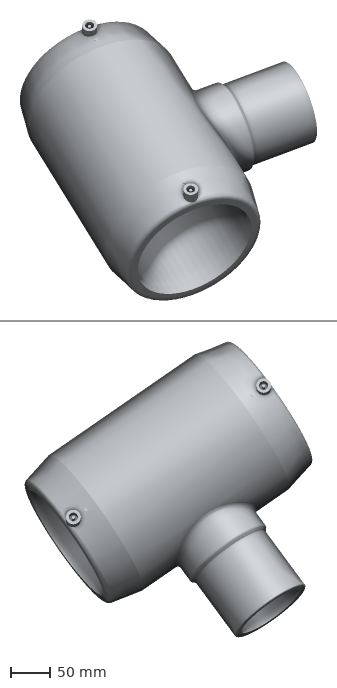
import cadquery as cq

sleeve_length = 319.0
sleeve_diameter = 209.0
bore_diameter = 160.0
straight_length = 228.0
end_diameter = 188.0
end_fillet = 6.0

branch_reach = 223.5
branch_diameter = 110.0
branch_bore_diameter = 90.0
branch_tip_chamfer = 1.0
collar_diameter = 119.0
collar_reach = 135.5
collar_edge = (collar_diameter - branch_diameter) / 2
collar_edge_fillet = 3.0
collar_root_fillet = 5.0
selection_margin = 0.5

terminal_offset = 148.5
terminal_diameter = 19.0
terminal_top = 109.0
socket_diameter = 11.5
socket_depth = 12.0
pin_diameter = 4.0
pin_height = 10.0
indicator_offset = 129.0
indicator_diameter = 4.0
indicator_height = 0.7

sleeve_radius = sleeve_diameter / 2
bore_radius = bore_diameter / 2
half_length = sleeve_length / 2
half_straight = straight_length / 2
taper_slope = (sleeve_diameter - end_diameter) / (sleeve_length - straight_length)
indicator_surface = sleeve_radius - taper_slope * (indicator_offset - half_straight)


def make_sleeve():
    """Solid sleeve blank: straight middle, tapered ends with rounded rims."""
    end_radius = end_diameter / 2
    profile = [
        (-half_length, 0),
        (-half_length, end_radius),
        (-half_straight, sleeve_radius),
        (half_straight, sleeve_radius),
        (half_length, end_radius),
        (half_length, 0),
    ]
    blank = cq.Workplane("XY").polyline(profile).close().revolve(360, (0, 0, 0), (1, 0, 0))
    return blank.faces("<X or >X").edges().fillet(end_fillet)


def cylinder_y(diameter, reach):
    """Cylinder from the sleeve axis out to the given +Y reach."""
    return cq.Workplane("XZ").circle(diameter / 2).extrude(-reach)


def cylinder_z(x, diameter, bottom, top):
    """Vertical cylinder above the sleeve axis at the given X."""
    return cq.Workplane("XY", origin=(x, 0, bottom)).circle(diameter / 2).extrude(top - bottom)


def edges_between(y_min, y_max):
    """Selector for whole edges lying between two Y positions along the branch."""
    reach = sleeve_length
    return cq.selectors.BoxSelector((-reach, y_min, -reach), (reach, y_max, reach), boundingbox=True)


def add_branch(body):
    """Collar blended into the sleeve, with the longer spigot beyond it."""
    collar = cylinder_y(collar_diameter, collar_reach).faces(">Y").edges().chamfer(collar_edge)
    shoulder = collar_reach - collar_edge
    shoulder_edges = edges_between(shoulder - selection_margin, shoulder + selection_margin)
    collar = collar.edges(shoulder_edges).fillet(collar_edge_fillet)
    body = body.union(collar)
    root_edges = edges_between(selection_margin, sleeve_radius + selection_margin)
    body = body.edges(root_edges).fillet(collar_root_fillet)
    spigot = cylinder_y(branch_diameter, branch_reach).faces(">Y").edges().chamfer(branch_tip_chamfer)
    return body.union(spigot)


def add_terminal(body, side):
    """Round terminal with an open socket around a contact pin, plus a low indicator pin on the taper."""
    x = side * terminal_offset
    socket_floor = terminal_top - socket_depth
    body = body.union(cylinder_z(x, terminal_diameter, bore_radius, terminal_top))
    body = body.cut(cylinder_z(x, socket_diameter, socket_floor, terminal_top))
    body = body.union(cylinder_z(x, pin_diameter, socket_floor, socket_floor + pin_height))
    indicator_x = side * indicator_offset
    indicator_top = indicator_surface + indicator_height
    return body.union(cylinder_z(indicator_x, indicator_diameter, bore_radius, indicator_top))


body = add_branch(make_sleeve())
for side in (-1, 1):
    body = add_terminal(body, side)
bore = cq.Workplane("YZ").circle(bore_radius).extrude(half_length, both=True)
body = body.cut(bore).cut(cylinder_y(branch_bore_diameter, branch_reach))
result = cq.Workplane(body.solids().val())